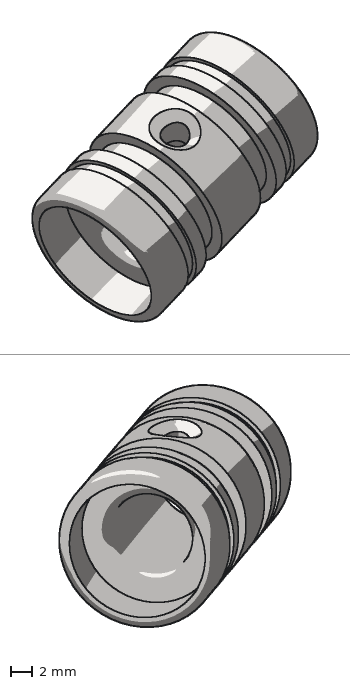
import cadquery as cq

length = 24.81
outer_radius = 7.97
rim_fillet = 0.75

center_band_width = 6.0
deep_groove_width = 2.45
deep_groove_radius = 6.77
land_width = 1.55
shallow_groove_width = 1.25
shallow_groove_radius = 7.53

bore_radius = 4.05
bore_fillet = 0.75
counterbore_radius = 6.75
counterbore_depth = 4.15

cross_hole_radius = 1.4
mouth_half_length = 2.3
mouth_half_width = 2.56

half_length = length / 2
deep_groove_start = center_band_width / 2
shallow_groove_start = deep_groove_start + deep_groove_width + land_width


def disc(radius, start, width):
    """Solid cylinder about the Y axis, running from start towards +Y."""
    return cq.Workplane("XZ", origin=(0, start, 0)).circle(radius).extrude(-width)


def ring(inner_radius, start, width):
    """Ring cutter reaching from inner_radius to beyond the outer surface."""
    return disc(2 * outer_radius, start, width).cut(disc(inner_radius, start, width))


def both_ends(cutter):
    """The cutter together with its mirror image about the XZ plane."""
    return cutter.union(cutter.mirror("XZ"))


def make_body():
    body = disc(outer_radius, -half_length, length)
    return body.faces("<Y or >Y").edges().fillet(rim_fillet)


def flared_mouth_cutter():
    """Elliptical cone, wider along X, that opens the cross hole at the outer surface."""
    apex_z = outer_radius - mouth_half_length
    side_z = (outer_radius ** 2 - mouth_half_width ** 2) ** 0.5
    widening = mouth_half_width / (side_z - apex_z)
    height = 2 * mouth_half_length
    tip_height = cross_hole_radius / 2
    return (
        cq.Workplane("XY", origin=(0, 0, apex_z + tip_height))
        .ellipse(widening * tip_height, tip_height)
        .workplane(offset=height - tip_height)
        .ellipse(widening * height, height)
        .loft(ruled=True)
    )


def cut_cross_hole(body):
    drill = cq.Workplane("XY").circle(cross_hole_radius).extrude(2 * outer_radius)
    return body.cut(drill).cut(flared_mouth_cutter())


def make_bore_cutter():
    """Through bore with counterbores and rounded inner shoulders."""
    shoulder = half_length - counterbore_depth
    fillet_start = shoulder - bore_fillet
    fillet_end_radius = bore_radius + bore_fillet
    arc_offset = bore_fillet / 2 ** 0.5
    fillet_mid = fillet_start + arc_offset
    fillet_mid_radius = fillet_end_radius - arc_offset
    profile = (
        cq.Workplane("XY")
        .moveTo(0, -half_length)
        .lineTo(counterbore_radius, -half_length)
        .lineTo(counterbore_radius, -shoulder)
        .lineTo(fillet_end_radius, -shoulder)
        .threePointArc((fillet_mid_radius, -fillet_mid), (bore_radius, -fillet_start))
        .lineTo(bore_radius, fillet_start)
        .threePointArc((fillet_mid_radius, fillet_mid), (fillet_end_radius, shoulder))
        .lineTo(counterbore_radius, shoulder)
        .lineTo(counterbore_radius, half_length)
        .lineTo(0, half_length)
        .close()
    )
    return profile.revolve(360, (0, 0, 0), (0, 1, 0))


body = cut_cross_hole(make_body())
body = body.cut(both_ends(ring(deep_groove_radius, deep_groove_start, deep_groove_width)))
body = body.cut(both_ends(ring(shallow_groove_radius, shallow_groove_start, shallow_groove_width)))
result = body.cut(make_bore_cutter())